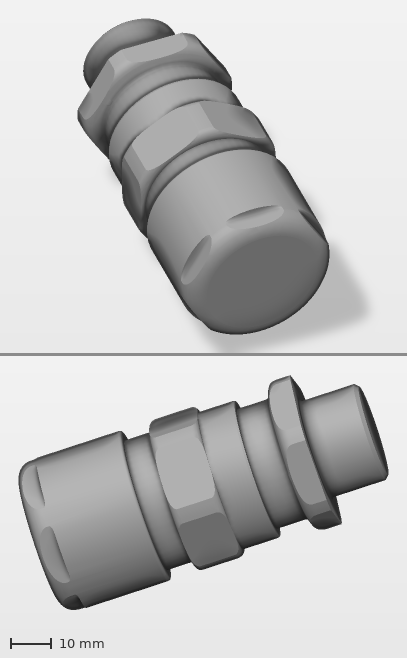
import cadquery as cq
import math


ACROSS_FLATS = 36.0
CORNER_R = 39.5 / 2

THREAD_R = 25.0 / 2
THREAD_CHAMFER = 1.0
THREAD_ROOT_FILLET = 0.6
ENTRY_HEX_START = 15.0
SHOULDER_START = 18.4
SHOULDER_END = 23.0
SHOULDER_POINTS = [(21.4, 17.9), (21.8, 16.7)]
NECK_R = 31.2 / 2

NUT_START = 30.3
COLLAR_R = 35.6 / 2
COLLAR_CHAMFER_LENGTH = 0.5
COLLAR_CHAMFER_DEPTH = 0.2
NUT_HEX_START = 39.75
NUT_HEX_END = 52.4
NUT_HEX_ROUND = CORNER_R - COLLAR_R
SLEEVE_R = 33.7 / 2

CAP_START = 59.3
CAP_END = 87.35
CAP_R = 39.05 / 2
CAP_EDGE_FILLET = 0.7
CAP_END_ROUND = 4.7
CAP_FLAT_WALL = 81.3
CAP_FLAT_FILLET = 0.8
FLAT_COUNT = 6

CUT_MARGIN = 1.75


def turn(profile):
    """Revolve a closed half profile in the XZ plane (local Y = radius) about the X axis."""
    return profile.close().revolve(360, (0, 0, 0), (1, 0, 0))


def hex_bar(start, end, turn_angle):
    """Hexagonal bar along X; at turn_angle 0 two flats face up and down."""
    bar = (
        cq.Workplane("YZ")
        .polygon(6, ACROSS_FLATS / math.cos(math.pi / 6))
        .extrude(end - start)
        .translate((start, 0, 0))
    )
    return bar.rotate((0, 0, 0), (1, 0, 0), turn_angle)


def arc_point(center_x, center_r, radius, angle):
    """Point on an arc at the given angle in degrees, measured from +X."""
    a = math.radians(angle)
    return (center_x + radius * math.cos(a), center_r + radius * math.sin(a))


def make_entry_fitting():
    """Threaded spigot, hexagon with a rounded back, and plain neck."""
    root_x = ENTRY_HEX_START - THREAD_ROOT_FILLET
    root_r = THREAD_R + THREAD_ROOT_FILLET
    along_x = (1, 0)
    shoulder = [*SHOULDER_POINTS, (SHOULDER_END, NECK_R)]
    profile = (
        cq.Workplane("XZ")
        .moveTo(0, 0)
        .lineTo(0, THREAD_R - THREAD_CHAMFER)
        .lineTo(THREAD_CHAMFER, THREAD_R)
        .lineTo(root_x, THREAD_R)
        .threePointArc(arc_point(root_x, root_r, THREAD_ROOT_FILLET, -45), (ENTRY_HEX_START, root_r))
        .lineTo(ENTRY_HEX_START, CORNER_R)
        .lineTo(SHOULDER_START, CORNER_R)
        .spline(shoulder, tangents=[along_x, along_x], includeCurrent=True)
        .lineTo(NUT_START, NECK_R)
        .lineTo(NUT_START, 0)
    )
    return turn(profile).intersect(hex_bar(0, NUT_START, 0))


def make_middle_nut():
    """Round collar, hexagon rounded at both ends, and plain sleeve up to the cap."""
    front_x = NUT_HEX_START + NUT_HEX_ROUND
    back_x = NUT_HEX_END - NUT_HEX_ROUND
    profile = (
        cq.Workplane("XZ")
        .moveTo(NUT_START, 0)
        .lineTo(NUT_START, COLLAR_R - COLLAR_CHAMFER_DEPTH)
        .lineTo(NUT_START + COLLAR_CHAMFER_LENGTH, COLLAR_R)
        .lineTo(NUT_HEX_START, COLLAR_R)
        .threePointArc(arc_point(front_x, COLLAR_R, NUT_HEX_ROUND, 135), (front_x, CORNER_R))
        .lineTo(back_x, CORNER_R)
        .threePointArc(arc_point(back_x, COLLAR_R, NUT_HEX_ROUND, 45), (NUT_HEX_END, COLLAR_R))
        .lineTo(NUT_HEX_END, SLEEVE_R)
        .lineTo(CAP_START, SLEEVE_R)
        .lineTo(CAP_START, 0)
    )
    return turn(profile).intersect(hex_bar(NUT_START, CAP_START, 30))


def cap_flat_cutter():
    """Block that cuts the top flat of the cap, with a fillet at the foot of the step."""
    flat_z = ACROSS_FLATS / 2
    fillet_x = CAP_FLAT_WALL + CAP_FLAT_FILLET
    fillet_z = flat_z + CAP_FLAT_FILLET
    return (
        cq.Workplane("XZ")
        .moveTo(CAP_FLAT_WALL, CAP_R + CUT_MARGIN)
        .lineTo(CAP_FLAT_WALL, fillet_z)
        .threePointArc(arc_point(fillet_x, fillet_z, CAP_FLAT_FILLET, -135), (fillet_x, flat_z))
        .lineTo(CAP_END + CUT_MARGIN, flat_z)
        .lineTo(CAP_END + CUT_MARGIN, CAP_R + CUT_MARGIN)
        .close()
        .extrude(CAP_R, both=True)
    )


def make_cap():
    """Round cap with a rounded end and six short wrench flats."""
    cap = cq.Workplane("YZ").circle(CAP_R).extrude(CAP_END - CAP_START).translate((CAP_START, 0, 0))
    cap = cap.faces("<X").edges().fillet(CAP_EDGE_FILLET)
    cap = cap.faces(">X").edges().fillet(CAP_END_ROUND)
    cutter = cap_flat_cutter()
    for i in range(FLAT_COUNT):
        cap = cap.cut(cutter.rotate((0, 0, 0), (1, 0, 0), i * 360 / FLAT_COUNT))
    return cap


entry_fitting = make_entry_fitting()
middle_nut = make_middle_nut()
cap = make_cap()

result = cq.Compound.makeCompound([entry_fitting.val(), middle_nut.val(), cap.val()])